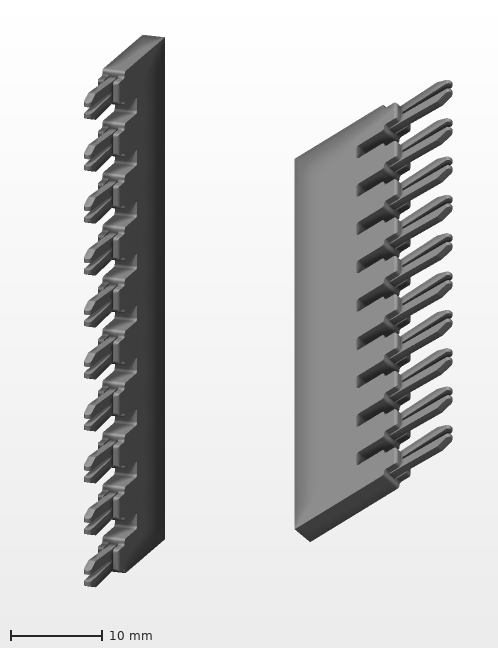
import cadquery as cq

LENGTH = 58.0
DEPTH = 21.5
THICKNESS = 2.6

CONTACTS = 10
TOOTH_HEIGHT = 4.0
PITCH = (LENGTH - TOOTH_HEIGHT) / (CONTACTS - 1)

NOTCH_FLOOR_Y = 12.6
SHOULDER_Y = 8.6
COLLAR_END_Y = 6.85
EDGE_ROUND = 0.35

COLLAR_HEIGHT = 2.55
COLLAR_BASE_ROUND = 0.3
SLOT_WIDTH = 1.15

BLADE_THICKNESS = 0.85
SLIT_START_Y = 6.7
SLIT_HALF_ROOT = 0.2
SLIT_HALF_TIP = 0.42
NOSE_Y = 1.7
NOSE_HALF_HEIGHT = 1.5
TIP_HALF_HEIGHT = 0.85
TIP_ROUND = 0.4

SELECT_MARGIN = 0.05


def block(x_size, y_min, y_max, z_size):
    """Box centred on X and Z, spanning y_min to y_max."""
    return cq.Workplane("XY").box(x_size, y_max - y_min, z_size).translate((0, (y_min + y_max) / 2, 0))


def make_holder():
    """Housing tooth and the collar on its front, slotted to leave a cheek either side of the blade."""
    tooth = block(THICKNESS, SHOULDER_Y, NOTCH_FLOOR_Y, TOOTH_HEIGHT)
    tooth = tooth.faces("<Y").edges("|X").fillet(EDGE_ROUND)

    collar = block(THICKNESS, COLLAR_END_Y, SHOULDER_Y, COLLAR_HEIGHT)
    collar = collar.faces("<Y").edges().fillet(EDGE_ROUND)

    collar_base = cq.selectors.BoxSelector(
        (-THICKNESS, SHOULDER_Y - SELECT_MARGIN, -COLLAR_HEIGHT / 2 - SELECT_MARGIN),
        (THICKNESS, SHOULDER_Y + SELECT_MARGIN, COLLAR_HEIGHT / 2 + SELECT_MARGIN),
    )
    holder = tooth.union(collar).edges("|X").edges(collar_base).fillet(COLLAR_BASE_ROUND)
    return holder.cut(block(SLOT_WIDTH, COLLAR_END_Y, SHOULDER_Y, TOOTH_HEIGHT))


def make_blade():
    """Contact blade split into two spreading tines."""
    half_root = COLLAR_HEIGHT / 2
    outline = [
        (SHOULDER_Y, -half_root),
        (COLLAR_END_Y, -half_root),
        (NOSE_Y, -NOSE_HALF_HEIGHT),
        (0, -TIP_HALF_HEIGHT),
        (0, -SLIT_HALF_TIP),
        (SLIT_START_Y, -SLIT_HALF_ROOT),
        (SLIT_START_Y, SLIT_HALF_ROOT),
        (0, SLIT_HALF_TIP),
        (0, TIP_HALF_HEIGHT),
        (NOSE_Y, NOSE_HALF_HEIGHT),
        (COLLAR_END_Y, half_root),
        (SHOULDER_Y, half_root),
    ]
    blade = cq.Workplane("YZ").polyline(outline).close().extrude(BLADE_THICKNESS / 2, both=True)
    return blade.faces("<Y").edges("|Z").fillet(TIP_ROUND)


contact = make_holder().union(make_blade())
result = block(THICKNESS, NOTCH_FLOOR_Y, DEPTH, LENGTH)
for index in range(CONTACTS):
    z = (index - (CONTACTS - 1) / 2) * PITCH
    result = result.union(contact.translate((0, 0, z)))

notch_corners = cq.selectors.BoxSelector(
    (-THICKNESS, NOTCH_FLOOR_Y - SELECT_MARGIN, -LENGTH / 2 + SELECT_MARGIN),
    (THICKNESS, NOTCH_FLOOR_Y + SELECT_MARGIN, LENGTH / 2 - SELECT_MARGIN),
)
result = result.edges("|X").edges(notch_corners).fillet(EDGE_ROUND).solids()